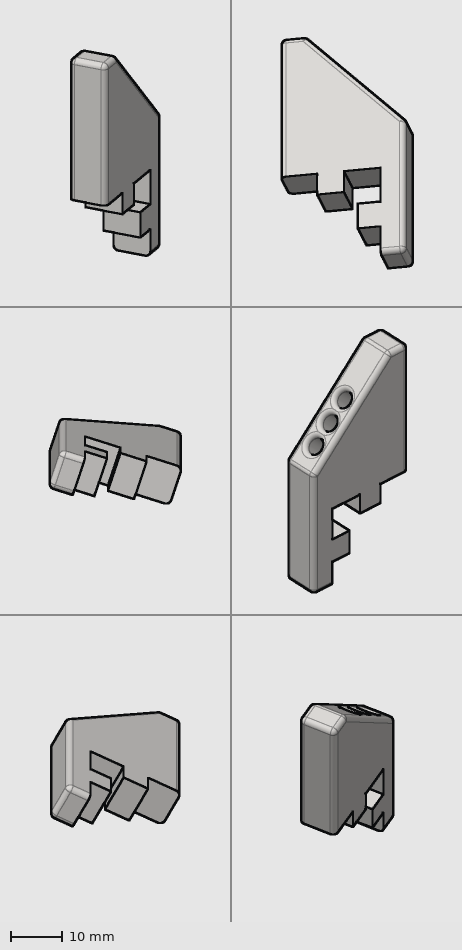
import cadquery as cq
import math

width = 8.0
depth = 25.0
height = 48.5
edge_radius = 1.1

leg_thickness = 5.0
underside_z = 18.5
slope_angle = 45
top_land = 5.0
tab_offset = 7.28
tab_width = 5.4
tab_length = 4.5

hole_count = 3
hole_diameter = 3.5
hole_rim_radius = 1.0
hole_pitch = 5.35
hole_depth = 9.7
first_hole_rise = 3.7

front_y = -depth / 2
rear_y = depth / 2
leg_front_y = rear_y - leg_thickness

slope_foot_z = height - (depth - top_land) * math.tan(math.radians(slope_angle))


def rounded_block():
    """Sloped block with every outer edge rounded, before the lower front corner is cut away."""
    outline = [
        (front_y, 0),
        (rear_y, 0),
        (rear_y, slope_foot_z),
        (front_y + top_land, height),
        (front_y, height),
    ]
    block = cq.Workplane("YZ").polyline(outline).close().extrude(width / 2, both=True)
    return block.edges().fillet(edge_radius)


def corner_cutter():
    """Lower front corner to remove, notched so that a tab stays on the leg and on the underside."""
    under_tab_rear_y = leg_front_y - tab_offset
    under_tab_front_y = under_tab_rear_y - tab_width
    leg_tab_top_z = underside_z - tab_offset
    leg_tab_bottom_z = leg_tab_top_z - tab_width
    outline = [
        (front_y, 0),
        (leg_front_y, 0),
        (leg_front_y, leg_tab_bottom_z),
        (leg_front_y - tab_length, leg_tab_bottom_z),
        (leg_front_y - tab_length, leg_tab_top_z),
        (leg_front_y, leg_tab_top_z),
        (leg_front_y, underside_z),
        (under_tab_rear_y, underside_z),
        (under_tab_rear_y, underside_z - tab_length),
        (under_tab_front_y, underside_z - tab_length),
        (under_tab_front_y, underside_z),
        (front_y, underside_z),
    ]
    return cq.Workplane("YZ").polyline(outline).close().extrude(width / 2, both=True)


def hole_cutter(position):
    """Blind hole with a rounded mouth; position counts up the slope from the lowest hole."""
    hole_radius = hole_diameter / 2
    rise = first_hole_rise + position * hole_pitch * math.sin(math.radians(slope_angle))
    cutter = (
        cq.Workplane("XZ")
        .moveTo(0, -hole_depth)
        .lineTo(hole_radius, -hole_depth)
        .lineTo(hole_radius, -hole_rim_radius)
        .tangentArcPoint((hole_radius + hole_rim_radius, 0), relative=False)
        .lineTo(0, 0)
        .close()
        .revolve(360, (0, 0, 0), (0, 1, 0))
    )
    tipped = cutter.rotate((0, 0, 0), (1, 0, 0), -slope_angle)
    return tipped.translate((0, rear_y - rise, slope_foot_z + rise))


result = rounded_block().cut(corner_cutter())
for hole_position in range(hole_count):
    result = result.cut(hole_cutter(hole_position))